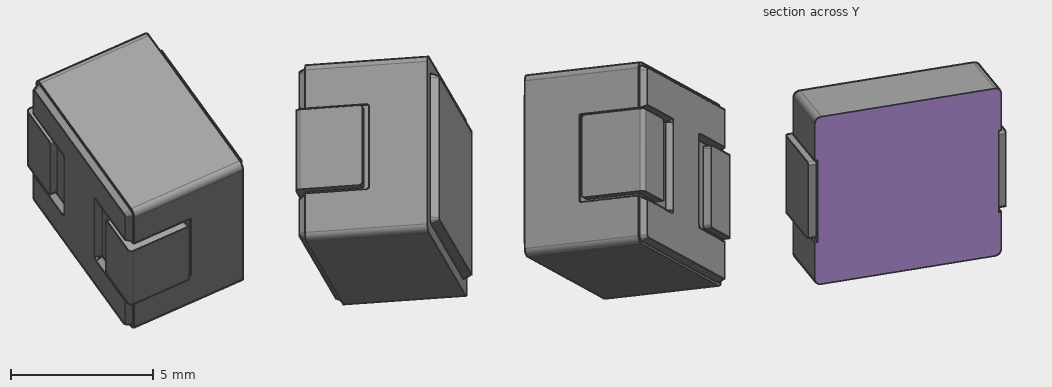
import cadquery as cq

body_width = 7.0
body_depth = 4.4
body_height = 6.6
body_corner_radius = 0.25

terminal_thickness = 0.3
terminal_height = 3.0
terminal_wrap_depth = 2.4
terminal_leg_length = 1.7
terminal_bend_radius = 0.15
terminal_corner_radius = 0.1
overall_width = 7.4

recess_height = 3.2
recess_inner_x = 1.2
recess_end_y = 2.6
recess_corner_radius = 0.1

raised_corner_radius = 0.2
taper_angle = 25.0
front_face_margin = 0.1
front_face_standoff = 0.05
back_face_margin = 0.475
back_face_rise = 0.3

body_front_y = terminal_thickness
body_back_y = body_front_y + body_depth
front_face_rise = body_front_y - front_face_standoff
terminal_outer_x = overall_width / 2
terminal_inner_x = terminal_outer_x - terminal_thickness


def centred_box(x_min, x_max, y_min, y_max, height):
    """Box centred on Z = 0 with given X and Y limits."""
    return (
        cq.Workplane("XY")
        .box(x_max - x_min, y_max - y_min, height)
        .translate(((x_min + x_max) / 2, (y_min + y_max) / 2, 0))
    )


def make_body():
    """Rectangular block with the four edges along Y rounded."""
    half_width = body_width / 2
    block = centred_box(-half_width, half_width, body_front_y, body_back_y, body_height)
    return block.edges("|Y").fillet(body_corner_radius)


def raised_outline(margin):
    """Rounded rectangle set in from the body sides by the margin."""
    width = body_width - 2 * margin
    height = body_height - 2 * margin
    return cq.Sketch().rect(width, height).vertices().fillet(raised_corner_radius).reset()


def make_front_face():
    """I-shaped tapered plateau, notched at both sides to clear the terminal legs."""
    notch_width = terminal_outer_x - recess_inner_x
    notch_x = (terminal_outer_x + recess_inner_x) / 2
    outline = raised_outline(front_face_margin)
    outline = outline.push([(-notch_x, 0), (notch_x, 0)]).rect(notch_width, recess_height, mode="s")
    return (
        cq.Workplane("XZ", origin=(0, body_front_y, 0))
        .placeSketch(outline.reset())
        .extrude(front_face_rise, taper=taper_angle)
    )


def make_back_face():
    """Tapered rectangular plateau on the back of the body."""
    return (
        cq.Workplane("XZ", origin=(0, body_back_y, 0))
        .placeSketch(raised_outline(back_face_margin))
        .extrude(-back_face_rise, taper=taper_angle)
    )


def make_side_recess():
    """Shallow slot in the +X side, open toward the mounting side."""
    slot = centred_box(terminal_inner_x, terminal_outer_x, 0, recess_end_y, recess_height)
    return slot.edges("|X and >Y").fillet(recess_corner_radius)


def make_terminal():
    """Terminal on the +X side: one leg in the side slot, one under the mounting face."""
    leg_end_x = terminal_outer_x - terminal_leg_length
    side_leg = centred_box(terminal_inner_x, terminal_outer_x, 0, terminal_wrap_depth, terminal_height)
    side_leg = side_leg.edges("|X and >Y").fillet(terminal_corner_radius)
    mount_leg = centred_box(leg_end_x, terminal_outer_x, 0, terminal_thickness, terminal_height)
    mount_leg = mount_leg.edges("|Y and <X").fillet(terminal_corner_radius)
    terminal = side_leg.union(mount_leg)
    outer_bend = cq.selectors.NearestToPointSelector((terminal_outer_x, 0, 0))
    return terminal.edges(outer_bend).fillet(terminal_bend_radius)


def both_sides(shape):
    """The +X feature and its mirror image on the -X side."""
    return shape, shape.mirror("YZ")


result = make_body().union(make_front_face()).union(make_back_face())
for recess in both_sides(make_side_recess()):
    result = result.cut(recess)
for terminal in both_sides(make_terminal()):
    result = result.union(terminal)